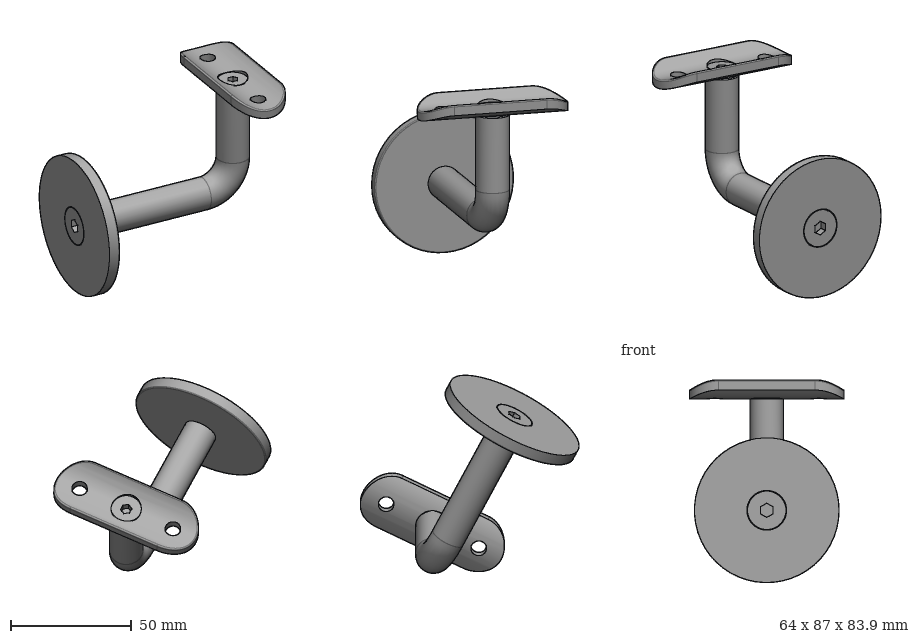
import cadquery as cq
import math


PLATE_DIA = 59.9
PLATE_THICK = 5.0
PLATE_FILLET = 0.4

ARM_DIA = 14.0
BEND_RADIUS = ARM_DIA
ARM_REACH = 75.0
ARM_TOP = 46.5
ARM_TOP_CHAMFER = 0.4

SADDLE_LENGTH = 64.0
SADDLE_WIDTH = 24.0
SADDLE_BOTTOM = 46.0
SADDLE_OUTER_RADIUS = 21.2
SADDLE_THICK = 3.8
SADDLE_FILLET = 0.5
RAIL_HOLE_DIA = 6.4
RAIL_HOLE_SPACING = 43.0
SADDLE_INNER_RADIUS = SADDLE_OUTER_RADIUS - SADDLE_THICK
SADDLE_AXIS_Z = SADDLE_BOTTOM + SADDLE_OUTER_RADIUS

PLATE_HEAD_DIA = 15.9
PLATE_HEAD_GAP = 0.3
PLATE_HEAD_HEIGHT = 3.05
PLATE_SHANK_DIA = 8.0
PLATE_SHANK_LENGTH = 17.4
PLATE_HEX_FLATS = 5.1
PLATE_HEX_DEPTH = 3.5

SADDLE_HEAD_DIA = 12.5
SADDLE_HEAD_DROP = 0.2
SADDLE_HEAD_HEIGHT = 2.2
SADDLE_SHANK_DIA = 6.0
SADDLE_SHANK_LENGTH = 13.05
SADDLE_HEX_FLATS = 4.0
SADDLE_HEX_DEPTH = 3.5
SADDLE_HEAD_TOP = SADDLE_BOTTOM + SADDLE_THICK - SADDLE_HEAD_DROP

PLATE_SCREW_PLANE = cq.Plane(origin=(0, 0, 0), xDir=(1, 0, 0), normal=(0, 1, 0))
SADDLE_SCREW_PLANE = cq.Plane(
    origin=(0, ARM_REACH, SADDLE_HEAD_TOP), xDir=(1, 0, 0), normal=(0, 0, -1)
)


def disc(plane, diameter, depth):
    """Cylinder that starts on the plane and runs along its normal."""
    return cq.Workplane(plane).circle(diameter / 2).extrude(depth)


def make_screw_blank(plane, head_dia, head_height, shank_dia, shank_length):
    """Cylindrical-head screw before its socket is cut; also the shape of its seat."""
    head = disc(plane, head_dia, head_height)
    shank = disc(plane, shank_dia, head_height + shank_length)
    return head.union(shank)


def cut_hex_socket(blank, plane, hex_flats, hex_depth):
    """Screw with a hexagon socket that has two flats square to the X axis."""
    hex_corner_dia = hex_flats / math.cos(math.radians(30))
    socket = (
        cq.Workplane(plane)
        .transformed(rotate=(0, 0, 90))
        .polygon(6, hex_corner_dia)
        .extrude(hex_depth)
    )
    return blank.cut(socket)


def make_plate(screw_blank):
    """Round wall plate with a counterbore a little wider than the screw head."""
    plate = disc(PLATE_SCREW_PLANE, PLATE_DIA, PLATE_THICK)
    plate = plate.faces(">Y").edges().fillet(PLATE_FILLET)
    counterbore_dia = PLATE_HEAD_DIA + 2 * PLATE_HEAD_GAP
    counterbore = disc(PLATE_SCREW_PLANE, counterbore_dia, PLATE_HEAD_HEIGHT)
    return plate.cut(counterbore).cut(screw_blank)


def make_saddle(screw_blank):
    """Curved strip with round ends, two rail holes and a seat for its screw."""
    blank = (
        cq.Workplane("XY", origin=(0, ARM_REACH, SADDLE_BOTTOM))
        .slot2D(SADDLE_LENGTH, SADDLE_WIDTH)
        .extrude(SADDLE_OUTER_RADIUS)
    )
    shell = (
        cq.Workplane("YZ", origin=(-SADDLE_LENGTH, ARM_REACH, SADDLE_AXIS_Z))
        .circle(SADDLE_OUTER_RADIUS)
        .circle(SADDLE_INNER_RADIUS)
        .extrude(2 * SADDLE_LENGTH)
    )
    saddle = blank.intersect(shell)

    trough = saddle.faces(cq.selectors.NearestToPointSelector((0, ARM_REACH, SADDLE_AXIS_Z)))
    saddle = trough.edges().fillet(SADDLE_FILLET)

    rail_holes = (
        cq.Workplane("XY", origin=(0, ARM_REACH, SADDLE_BOTTOM))
        .rarray(RAIL_HOLE_SPACING, 0.9, 2, 1)
        .circle(RAIL_HOLE_DIA / 2)
        .extrude(SADDLE_OUTER_RADIUS)
    )
    head_recess = (
        cq.Workplane("XY", origin=(0, ARM_REACH, SADDLE_HEAD_TOP))
        .circle(SADDLE_HEAD_DIA / 2)
        .extrude(SADDLE_OUTER_RADIUS)
    )
    return saddle.cut(rail_holes).cut(head_recess).cut(screw_blank)


def make_arm(saddle, screw_blanks):
    """Round bar with one bend, shaped to the saddle and bored for both screws."""
    path = (
        cq.Workplane("YZ")
        .moveTo(PLATE_THICK, 0)
        .lineTo(ARM_REACH - BEND_RADIUS, 0)
        .tangentArcPoint((ARM_REACH, BEND_RADIUS), relative=False)
        .lineTo(ARM_REACH, ARM_TOP)
    )
    start = cq.Plane(origin=(0, PLATE_THICK, 0), xDir=(1, 0, 0), normal=(0, 1, 0))
    arm = cq.Workplane(start).circle(ARM_DIA / 2).sweep(path)
    arm = arm.faces(">Z").edges().chamfer(ARM_TOP_CHAMFER)
    arm = arm.cut(saddle)
    for screw_blank in screw_blanks:
        arm = arm.cut(screw_blank)
    return arm


plate_screw_blank = make_screw_blank(
    PLATE_SCREW_PLANE, PLATE_HEAD_DIA, PLATE_HEAD_HEIGHT, PLATE_SHANK_DIA, PLATE_SHANK_LENGTH
)
saddle_screw_blank = make_screw_blank(
    SADDLE_SCREW_PLANE, SADDLE_HEAD_DIA, SADDLE_HEAD_HEIGHT, SADDLE_SHANK_DIA, SADDLE_SHANK_LENGTH
)
plate_screw = cut_hex_socket(plate_screw_blank, PLATE_SCREW_PLANE, PLATE_HEX_FLATS, PLATE_HEX_DEPTH)
saddle_screw = cut_hex_socket(saddle_screw_blank, SADDLE_SCREW_PLANE, SADDLE_HEX_FLATS, SADDLE_HEX_DEPTH)
plate = make_plate(plate_screw_blank)
saddle = make_saddle(saddle_screw_blank)
arm = make_arm(saddle, [plate_screw_blank, saddle_screw_blank])

result = cq.Compound.makeCompound(
    [body.solids().val() for body in (plate, arm, saddle, plate_screw, saddle_screw)]
)